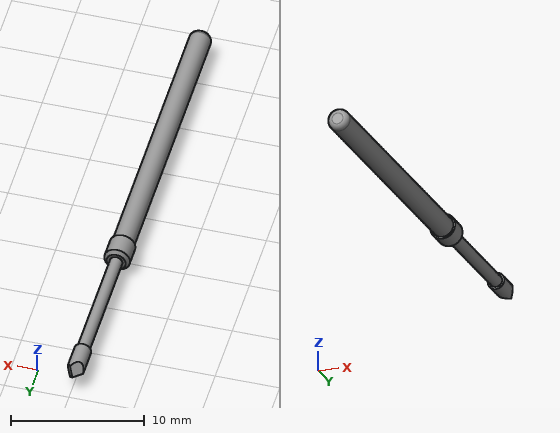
import cadquery as cq
import math

total_length = 37.8
collar_front_length = 25.0
collar_length = 1.9
head_length = 3.02

barrel_diameter = 1.7
tail_round = 0.4
collar_diameter = 2.0
collar_chamfer = 0.25
rod_diameter = 1.0
head_diameter = 1.32

tip_face_count = 3
tip_face_angle = 30.0

tail_y = -total_length / 2
tip_y = total_length / 2
collar_front_y = tail_y + collar_front_length
collar_back_y = collar_front_y - collar_length
head_back_y = tip_y - head_length


def cylinder(diameter, start_y, end_y):
    """Round bar on the Y axis from start_y to end_y."""
    plane = cq.Plane(origin=(0, start_y, 0), xDir=(1, 0, 0), normal=(0, 1, 0))
    return cq.Workplane(plane).circle(diameter / 2).extrude(end_y - start_y)


def tip_pyramid():
    """Three-sided pyramid with its apex on the tip, one face toward +X and one ridge toward -X."""
    half_width = head_length * math.tan(math.radians(tip_face_angle))
    corner_radius = half_width / math.cos(math.pi / tip_face_count)
    corners = []
    for index in range(tip_face_count):
        angle = (2 * index + 1) * math.pi / tip_face_count
        corners.append(cq.Vector(corner_radius * math.cos(angle), head_back_y, corner_radius * math.sin(angle)))
    apex = cq.Vector(0, tip_y, 0)
    faces = [cq.Face.makeFromWires(cq.Wire.makePolygon(corners, close=True))]
    for index, corner in enumerate(corners):
        outline = [corner, corners[(index + 1) % tip_face_count], apex]
        faces.append(cq.Face.makeFromWires(cq.Wire.makePolygon(outline, close=True)))
    return cq.Workplane(cq.Solid.makeSolid(cq.Shell.makeShell(faces)))


barrel = cylinder(barrel_diameter, tail_y, collar_back_y).faces("<Y").edges().fillet(tail_round)
collar = cylinder(collar_diameter, collar_back_y, collar_front_y).faces(">Y").edges().chamfer(collar_chamfer)
rod = cylinder(rod_diameter, collar_back_y, head_back_y)
head = cylinder(head_diameter, head_back_y, tip_y).intersect(tip_pyramid())

result = barrel.union(collar).union(rod).union(head)